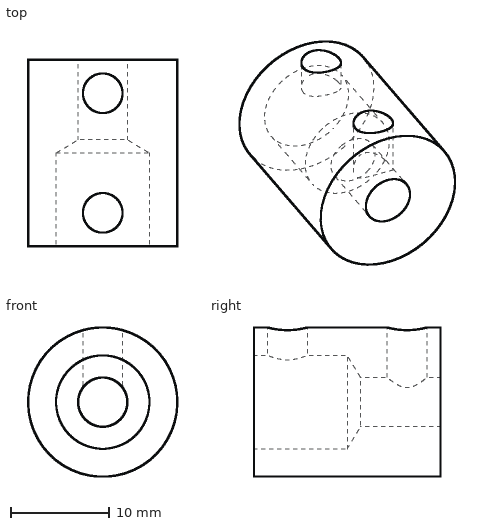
import cadquery as cq
import math

outer_diameter = 15.24
length = 19.05
front_y = -length / 2
back_y = length / 2

wide_bore_diameter = 9.525
narrow_bore_diameter = 5.0
wide_bore_depth = length / 2
drill_point_angle = 118.0

screw_hole_diameter = 4.04
screw_hole_end_distance = 3.43


def make_bored_sleeve():
    """Revolve the wall section, including the conical bore step, about Y."""
    outer_radius = outer_diameter / 2
    wide_radius = wide_bore_diameter / 2
    narrow_radius = narrow_bore_diameter / 2
    half_point_angle = math.radians(drill_point_angle / 2)
    cone_length = (wide_radius - narrow_radius) / math.tan(half_point_angle)
    cone_start_y = front_y + wide_bore_depth
    section = (
        cq.Workplane("YZ")
        .moveTo(front_y, wide_radius)
        .lineTo(front_y, outer_radius)
        .lineTo(back_y, outer_radius)
        .lineTo(back_y, narrow_radius)
        .lineTo(cone_start_y + cone_length, narrow_radius)
        .lineTo(cone_start_y, wide_radius)
        .close()
    )
    return section.revolve(360, (0, 0, 0), (1, 0, 0))


def make_screw_holes():
    """Vertical cutters from the bore axis up past the top of the sleeve."""
    centers = [
        (0, front_y + screw_hole_end_distance),
        (0, back_y - screw_hole_end_distance),
    ]
    return (
        cq.Workplane("XY")
        .pushPoints(centers)
        .circle(screw_hole_diameter / 2)
        .extrude(outer_diameter)
    )


result = make_bored_sleeve().cut(make_screw_holes())